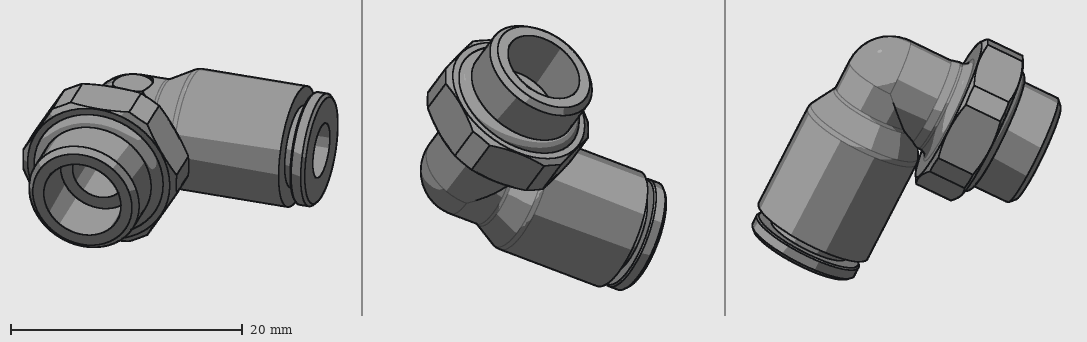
import cadquery as cq
import math


ELBOW_RADIUS = 3.95
BADGE_RADIUS = 1.75
BADGE_HEIGHT = 3.5

FLARE_START = 3.9
FLARE_END = 4.68
FLARE_RADIUS = 4.13
COLLAR_FILLET = 0.75
HEX_START = 5.65
HEX_LENGTH = 4.0
HEX_ACROSS_FLATS = 13.0
HEX_ACROSS_CORNERS = 13.92
HEX_FACE_RADIUS = 6.45
HEX_CHAMFER_ANGLE = 30.0
SEAL_RADIUS = 5.85
SEAL_LENGTH = 0.73
SEAL_ARC_RADIUS = 0.82
THREAD_RADIUS = 5.0
THREAD_CHAMFER = 0.5
STEM_END = 14.25

BRANCH_RADIUS = 5.3
BRANCH_END = 14.92
CONE_START = 2.73
CONE_ANGLE = 29.0
CONE_INNER_FILLET = 0.6
CONE_OUTER_FILLET = 0.9
NECK_RADIUS = 3.6
RELEASE_RADIUS = 4.95
RELEASE_START = 15.8
RELEASE_END = 17.09
RELEASE_INNER_CHAMFER = 0.15
RELEASE_OUTER_CHAMFER = 0.28

PASSAGE_RADIUS = 2.4
SOCKET_RADIUS = 3.5
SOCKET_DEPTH = 4.7

HEX_END = HEX_START + HEX_LENGTH
SEAL_END = HEX_END + SEAL_LENGTH

HALF_HEX_SECTOR = 30.0
CORNER_PER_FLAT = 1 / math.cos(math.radians(HALF_HEX_SECTOR))


def stem_cylinder(radius, start, end):
    """Cylinder on the stem axis between two distances below the elbow centre."""
    return cq.Workplane("XZ", origin=(0, -start, 0)).circle(radius).extrude(end - start)


def branch_cylinder(radius, start, end):
    """Cylinder on the branch axis between two distances from the elbow centre."""
    return cq.Workplane("YZ", origin=(start, 0, 0)).circle(radius).extrude(end - start)


def elbow():
    """Ball corner joining the stem and branch tubes."""
    return cq.Workplane("XY").sphere(ELBOW_RADIUS)


def stem_neck():
    """Straight tube, slight flare and concave collar above the hexagon."""
    profile = (
        cq.Workplane("XY")
        .lineTo(ELBOW_RADIUS, 0)
        .lineTo(ELBOW_RADIUS, -FLARE_START)
        .lineTo(FLARE_RADIUS, -FLARE_END)
        .lineTo(FLARE_RADIUS, COLLAR_FILLET - HEX_START)
        .radiusArc((FLARE_RADIUS + COLLAR_FILLET, -HEX_START), -COLLAR_FILLET)
        .lineTo(0, -HEX_START)
        .close()
    )
    return profile.revolve(360, (0, 0, 0), (0, 1, 0))


def hexagon():
    """Hexagon with its corners cut flat and both end faces chamfered by a cone."""
    def hex_prism(across_flats, rotation):
        prism = (
            cq.Workplane("XZ", origin=(0, -HEX_START, 0))
            .polygon(6, across_flats * CORNER_PER_FLAT)
            .extrude(HEX_LENGTH)
        )
        return prism.rotate((0, 0, 0), (0, 1, 0), rotation)

    rim_radius = HEX_ACROSS_FLATS / 2 * CORNER_PER_FLAT
    rim_drop = (rim_radius - HEX_FACE_RADIUS) * math.tan(math.radians(HEX_CHAMFER_ANGLE))
    chamfer_envelope = (
        cq.Workplane("XY")
        .moveTo(0, -HEX_START)
        .lineTo(HEX_FACE_RADIUS, -HEX_START)
        .lineTo(rim_radius, -HEX_START - rim_drop)
        .lineTo(rim_radius, -HEX_END + rim_drop)
        .lineTo(HEX_FACE_RADIUS, -HEX_END)
        .lineTo(0, -HEX_END)
        .close()
        .revolve(360, (0, 0, 0), (0, 1, 0))
    )
    body = hex_prism(HEX_ACROSS_FLATS, 0).intersect(hex_prism(HEX_ACROSS_CORNERS, HALF_HEX_SECTOR))
    return body.intersect(chamfer_envelope)


def seal():
    """Sealing ring under the hexagon, rounded from its rim down to the thread."""
    profile = (
        cq.Workplane("XY")
        .moveTo(0, -HEX_END)
        .lineTo(SEAL_RADIUS, -HEX_END)
        .radiusArc((THREAD_RADIUS, -SEAL_END), SEAL_ARC_RADIUS)
        .lineTo(0, -SEAL_END)
        .close()
    )
    return profile.revolve(360, (0, 0, 0), (0, 1, 0))


def thread():
    """Plain thread cylinder with a chamfered tip."""
    return stem_cylinder(THREAD_RADIUS, HEX_END, STEM_END).faces("<Y").edges().chamfer(THREAD_CHAMFER)


def branch_body():
    """Tube that widens through a cone, with blended ends, into the large branch cylinder."""
    cone_end = CONE_START + (BRANCH_RADIUS - ELBOW_RADIUS) / math.tan(math.radians(CONE_ANGLE))
    body = (
        cq.Workplane("XY")
        .lineTo(0, ELBOW_RADIUS)
        .lineTo(CONE_START, ELBOW_RADIUS)
        .lineTo(cone_end, BRANCH_RADIUS)
        .lineTo(BRANCH_END, BRANCH_RADIUS)
        .lineTo(BRANCH_END, 0)
        .close()
        .revolve(360, (0, 0, 0), (1, 0, 0))
    )

    cone_start_rim = cq.selectors.NearestToPointSelector((CONE_START, 0, 0))
    cone_end_rim = cq.selectors.NearestToPointSelector((cone_end, 0, 0))
    body = body.edges(cone_start_rim).fillet(CONE_INNER_FILLET)
    return body.edges(cone_end_rim).fillet(CONE_OUTER_FILLET)


def release_button():
    """Narrow neck and chamfered flange at the end of the branch."""
    neck = branch_cylinder(NECK_RADIUS, BRANCH_END, RELEASE_START)
    flange = branch_cylinder(RELEASE_RADIUS, RELEASE_START, RELEASE_END)
    flange = flange.faces(">X").edges().chamfer(RELEASE_OUTER_CHAMFER)
    flange = flange.faces("<X").edges().chamfer(RELEASE_INNER_CHAMFER)
    return neck.union(flange)


def passage():
    """Bent passage through the fitting, widened to a socket at the stem end."""
    corner = cq.Workplane("XY").sphere(PASSAGE_RADIUS)
    stem_bore = stem_cylinder(PASSAGE_RADIUS, 0, STEM_END)
    branch_bore = branch_cylinder(PASSAGE_RADIUS, 0, RELEASE_END)
    socket = stem_cylinder(SOCKET_RADIUS, STEM_END - SOCKET_DEPTH, STEM_END)
    return corner.union(stem_bore).union(branch_bore).union(socket)


def badge_recess():
    """Round flat cut into the top of the elbow."""
    recess_depth = ELBOW_RADIUS - BADGE_HEIGHT
    return cq.Workplane("XY").workplane(offset=BADGE_HEIGHT).circle(BADGE_RADIUS).extrude(recess_depth)


result = elbow()
for section in (stem_neck(), hexagon(), seal(), thread(), branch_body(), release_button()):
    result = result.union(section)
result = result.cut(badge_recess()).cut(passage())